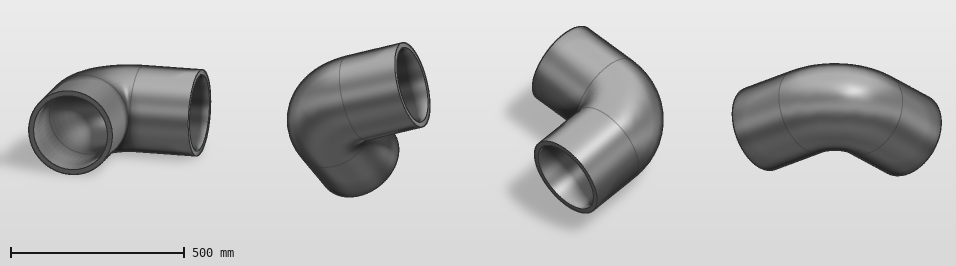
import cadquery as cq

overall_length = 428.0
outer_diameter = 250.0
bore_diameter = 220.5
leg_length = 174.5

bend_radius = overall_length - leg_length - outer_diameter / 2
bend_angle = 90


def elbow_solid(diameter):
    """Solid round elbow; the bend axis is the Z axis and the legs run along -Y and +X."""
    radius = diameter / 2

    bend = (
        cq.Workplane("XZ")
        .center(-bend_radius, 0)
        .circle(radius)
        .revolve(bend_angle, (bend_radius, 0), (bend_radius, -1))
    )
    leg_y = (
        cq.Workplane("XZ")
        .center(-bend_radius, 0)
        .circle(radius)
        .extrude(leg_length)
    )
    leg_x = (
        cq.Workplane("YZ")
        .center(bend_radius, 0)
        .circle(radius)
        .extrude(leg_length)
    )
    return bend.union(leg_y).union(leg_x)


result = elbow_solid(outer_diameter).cut(elbow_solid(bore_diameter))